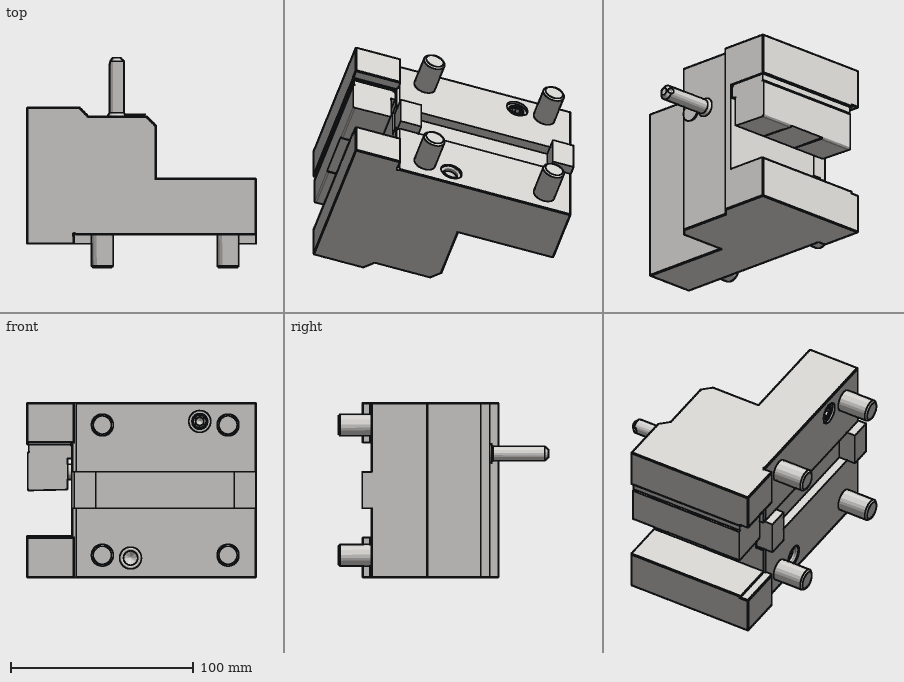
import cadquery as cq
import math

length = 126.0
height = 96.0
half_height = height / 2
edge_chamfer = 0.5
lug_width = 26.0
lug_drop = 5.0
lug_gap_half = 26.0
foot_back = 31.0
shoulder_x = 71.0
shoulder_back = 65.0
lug_back = 70.0
bevel = 5.0
lug_back_width = 29.0
relief_center_x = 26.2
relief_radius = 0.9

slot_depth = 24.7
slot_half = 25.0
jaw_front, jaw_back = 1.0, 69.0
jaw_left = 0.5
jaw_upper_left = 1.0
jaw_ledge_z = 21.0
jaw_right = 22.4
jaw_step_z = 17.3
jaw_bottom_left_z = -0.3
jaw_bottom_right_z = 0.2
jaw_corner = 0.9
jaw_groove_height = 0.5
jaw_groove_depth = 0.4
jaw_relief_width = 24.0
jaw_relief_depth = 0.7
jaw_screw_diameter = 8.4
jaw_screw_z = 10.0
jaw_mid_y = (jaw_front + jaw_back) / 2

key_width = 20.0
key_depth = 5.0
key_height = 5.0
key_length = 12.0

pattern_x = 76.0
pin_offset_x = 34.5
pin_offset_z = 35.75
pin_diameter = 12.0
pin_height = 18.0
pin_chamfer = 1.0
pin_root = 3.0
hole_offset_x = 19.0
screw_z = 37.7
port_z = -37.3
seat_diameter = 12.0

seat_depth = 1.5
thread_diameter = 8.6
screw_face_diameter = 7.0
thread_groove_depth = 0.8
socket_across_corners = 5.2
socket_depth = 3.0
drill_tip_angle = 118.0

port_diameter = 7.8
port_straight = 1.5
port_lip_inset = 0.3

shaft_x, shaft_z = 49.4, 20.1
shaft_end = 97.34
shaft_radius = 4.0
shaft_flare_radius = 5.2
shaft_flare_length = 2.0
shaft_tip_radius = 2.0
shaft_tip_length = 2.0
dimple_rim_radius = 2.2
dimple_radius = 1.2
dimple_countersink = 1.0
dimple_depth = 3.2
dimple_inset = 1.5
plug_x, plug_z = 59.7, 20.1
plug_root_radius = 4.8
plug_rim_radius = 5.3
plug_height = 1.2


def box(x0, x1, y0, y1, z0, z1):
    """Axis-aligned box between the given limits."""
    return cq.Workplane("XY").box(x1 - x0, y1 - y0, z1 - z0, centered=False).translate((x0, y0, z0))


def turned(profile, x, y, z):
    """Revolve (radius, depth) points about an axis along Y that starts at the given point."""
    face = cq.Workplane("XY").polyline(profile).close()
    return face.revolve(axisStart=(0, 0), axisEnd=(0, 1)).translate((x, y, z))


def tip_depth(radius):
    """Depth of the conical end left by a drill."""
    return radius / math.tan(math.radians(drill_tip_angle / 2))


def make_body():
    outline = [
        (0, -lug_drop),
        (lug_width, -lug_drop),
        (lug_width, 0),
        (length, 0),
        (length, foot_back),
        (shoulder_x, foot_back),
        (shoulder_x, shoulder_back - bevel),
        (shoulder_x - bevel, shoulder_back),
        (lug_back_width + bevel, shoulder_back),
        (lug_back_width, lug_back),
        (0, lug_back),
    ]
    body = cq.Workplane("XY").polyline(outline).close().extrude(height)
    body = body.translate((0, 0, -half_height))
    body = body.cut(box(0, slot_depth, -lug_drop, lug_back, -slot_half, slot_half))
    body = body.cut(box(0, lug_width, -lug_drop, 0, -lug_gap_half, lug_gap_half))
    outer_edges = body.faces("<Z or >Z").edges()
    for side in ("<X", ">X", "<Y"):
        outer_edges = outer_edges.add(body.faces(side).edges())
    body = body.newObject(list(set(outer_edges.vals()))).chamfer(edge_chamfer)
    relief = cq.Workplane("XY").center(relief_center_x, 0).circle(relief_radius).extrude(height)
    return body.cut(relief.translate((0, 0, -half_height)))


def add_keys(body):
    half = key_width / 2
    body = body.cut(box(slot_depth, length, 0, key_depth, -half, half))
    for x in (lug_width, length - key_length):
        body = body.union(box(x, x + key_length, -key_height, key_depth, -half, half))
    return body


def make_jaw():
    outline = [
        (jaw_upper_left, slot_half),
        (slot_depth - jaw_corner, slot_half),
        (slot_depth, slot_half - jaw_corner),
        (slot_depth, jaw_step_z),
        (jaw_right, jaw_step_z),
        (jaw_right, jaw_bottom_right_z),
        (jaw_left, jaw_bottom_left_z),
        (jaw_left, jaw_ledge_z - jaw_groove_height),
        (jaw_upper_left + jaw_groove_depth, jaw_ledge_z),
        (jaw_upper_left, jaw_ledge_z + jaw_groove_depth),
    ]
    jaw = cq.Workplane("XZ", origin=(0, jaw_front, 0)).polyline(outline).close().extrude(jaw_front - jaw_back)
    clamping_end = cq.selectors.BoxSelector(
        (0, jaw_front, jaw_bottom_left_z - jaw_corner),
        (slot_depth, jaw_back, jaw_bottom_right_z + jaw_corner),
    )
    jaw = jaw.edges("|Y").edges(clamping_end).fillet(jaw_corner)
    half_relief = jaw_relief_width / 2
    jaw = jaw.cut(box(0, slot_depth, jaw_mid_y - half_relief, jaw_mid_y + half_relief,
                      jaw_bottom_left_z, jaw_bottom_left_z + jaw_relief_depth))
    screw = cq.Workplane("YZ", origin=(jaw_right, jaw_mid_y, jaw_screw_z))
    return jaw.union(screw.circle(jaw_screw_diameter / 2).extrude(slot_depth - jaw_right))


def make_pin(x, z):
    radius = pin_diameter / 2
    profile = [
        (0, pin_root),
        (radius, pin_root),
        (radius, pin_chamfer - pin_height),
        (radius - pin_chamfer, -pin_height),
        (0, -pin_height),
    ]
    return turned(profile, x, 0, z)


def cut_set_screw(body, x, z):
    seat = cq.Workplane("XZ", origin=(x, 0, z)).circle(seat_diameter / 2).extrude(-seat_depth)
    face = cq.Workplane("XZ", origin=(x, seat_depth, z))
    groove = face.circle(thread_diameter / 2).circle(screw_face_diameter / 2).extrude(-thread_groove_depth)
    socket = face.transformed(rotate=(0, 0, 90)).polygon(6, socket_across_corners).extrude(-socket_depth)
    radius = socket_across_corners * math.cos(math.radians(30)) / 2
    tip = turned([(0, 0), (radius, 0), (0, tip_depth(radius))], x, seat_depth + socket_depth, z)
    return body.cut(seat).cut(groove).cut(socket).cut(tip)


def cut_port(body, x, z):
    outer = seat_diameter / 2
    inner = port_diameter / 2
    lip = (outer - inner) / 2
    lip_depth = port_lip_inset + lip
    bore_end = lip_depth + port_straight
    profile = (
        cq.Workplane("XY")
        .moveTo(0, 0)
        .lineTo(outer, 0)
        .lineTo(outer, lip_depth)
        .threePointArc((outer - lip, port_lip_inset), (inner, lip_depth))
        .lineTo(inner, bore_end)
        .lineTo(0, bore_end + tip_depth(inner))
        .close()
    )
    return body.cut(profile.revolve(axisStart=(0, 0), axisEnd=(0, 1)).translate((x, 0, z)))


def make_shaft():
    reach = shaft_end - shoulder_back
    outline = [
        (0, 0),
        (shaft_flare_radius, 0),
        (shaft_radius, shaft_flare_length),
        (shaft_radius, reach - shaft_tip_length),
        (shaft_tip_radius, reach),
        (0, reach),
    ]
    shaft = turned(outline, shaft_x, shoulder_back, shaft_z)
    profile = [
        (0, 0),
        (dimple_rim_radius, 0),
        (dimple_radius, dimple_countersink),
        (0, dimple_depth),
    ]
    dimple = turned(profile, 0, 0, 0).rotate((0, 0, 0), (0, 0, 1), -90)
    return shaft.cut(dimple.translate((shaft_x - shaft_radius, shaft_end - dimple_inset, shaft_z)))


def make_plug():
    profile = [(0, 0), (plug_root_radius, 0), (plug_rim_radius, plug_height), (0, plug_height)]
    return turned(profile, plug_x, shoulder_back, plug_z)


result = add_keys(make_body()).union(make_jaw())
for side_x in (-1, 1):
    for side_z in (-1, 1):
        result = result.union(make_pin(pattern_x + side_x * pin_offset_x, side_z * pin_offset_z))
result = cut_set_screw(result, pattern_x + hole_offset_x, screw_z)
result = cut_port(result, pattern_x - hole_offset_x, port_z)
result = result.union(make_shaft()).union(make_plug())